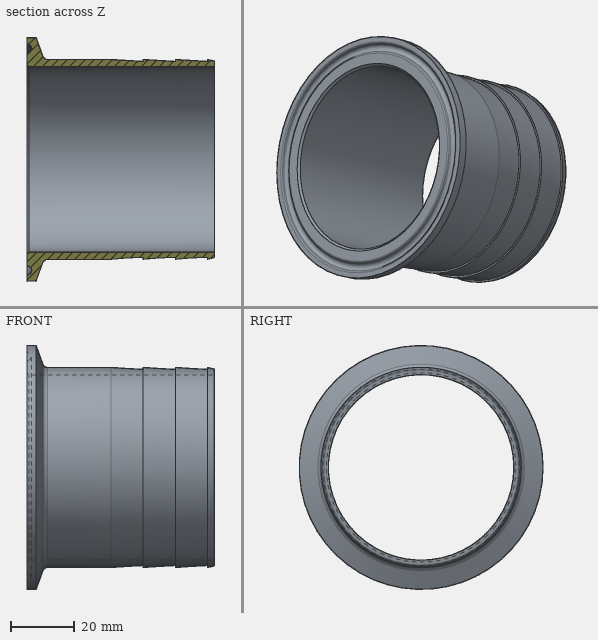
import cadquery as cq
import math

overall_length = 59.5
flange_radius = 77.4 / 2
tube_radius = 63.5 / 2
bore_radius = 58.75 / 2

rim_width = 2.95
cone_angle = math.radians(20)
cone_end = rim_width + (flange_radius - tube_radius) * math.tan(cone_angle)
neck_fillet_radius = 1.5

groove_radius = 35.2
groove_half_width = 1.5
groove_wall_angle = math.radians(25)
groove_floor_radius = 1.2
groove_lip_radius = 0.55

barb_start = 26.7
barbs_end = 57.3
barb_count = 3
barb_pitch = (barbs_end - barb_start) / barb_count
barb_drop = 0.6
tip_drop = 0.55
tip_edge_fillet = 0.4

bore_chamfer = 0.7


def revolve_about_x(profile):
    """Close a half profile and spin it a full turn about the X axis."""
    return profile.close().revolve(360, (0, 0, 0), (1, 0, 0))


def round_circle(solid, x, radius, fillet_radius):
    """Fillet the circular edge of a given radius at a given X."""
    tolerance = 0.01
    edges = [
        edge
        for edge in solid.edges("%CIRCLE").vals()
        if abs(edge.Center().x - x) < tolerance and abs(edge.radius() - radius) < tolerance
    ]
    return solid.newObject(edges).fillet(fillet_radius)


def make_body():
    """Solid outer shape: flange, cone, tube, barbs and tapered tip."""
    tip_radius = tube_radius - tip_drop
    outline = (
        cq.Workplane("XY")
        .lineTo(0, flange_radius)
        .lineTo(rim_width, flange_radius)
        .lineTo(cone_end, tube_radius)
        .lineTo(barb_start, tube_radius)
    )
    for barb in range(1, barb_count + 1):
        barb_end = barb_start + barb * barb_pitch
        outline = outline.lineTo(barb_end, tube_radius - barb_drop)
        outline = outline.lineTo(barb_end, tube_radius)
    outline = outline.lineTo(overall_length, tip_radius).lineTo(overall_length, 0)

    body = revolve_about_x(outline)
    body = round_circle(body, cone_end, tube_radius, neck_fillet_radius)
    return round_circle(body, overall_length, tip_radius, tip_edge_fillet)


def make_bore():
    """Through bore with its lead-in at the flange face."""
    return revolve_about_x(
        cq.Workplane("XY")
        .lineTo(0, bore_radius + bore_chamfer)
        .lineTo(bore_chamfer, bore_radius)
        .lineTo(overall_length, bore_radius)
        .lineTo(overall_length, 0)
    )


def make_groove():
    """Ring with a round-bottomed V section that cuts the gasket groove."""
    apex_depth = groove_half_width / math.tan(groove_wall_angle)
    ring = revolve_about_x(
        cq.Workplane("XY")
        .moveTo(0, groove_radius - groove_half_width)
        .lineTo(apex_depth, groove_radius)
        .lineTo(0, groove_radius + groove_half_width)
    )
    return round_circle(ring, apex_depth, groove_radius, groove_floor_radius)


result = make_body().cut(make_bore()).cut(make_groove())
for side in (-1, 1):
    lip_radius = groove_radius + side * groove_half_width
    result = round_circle(result, 0, lip_radius, groove_lip_radius)